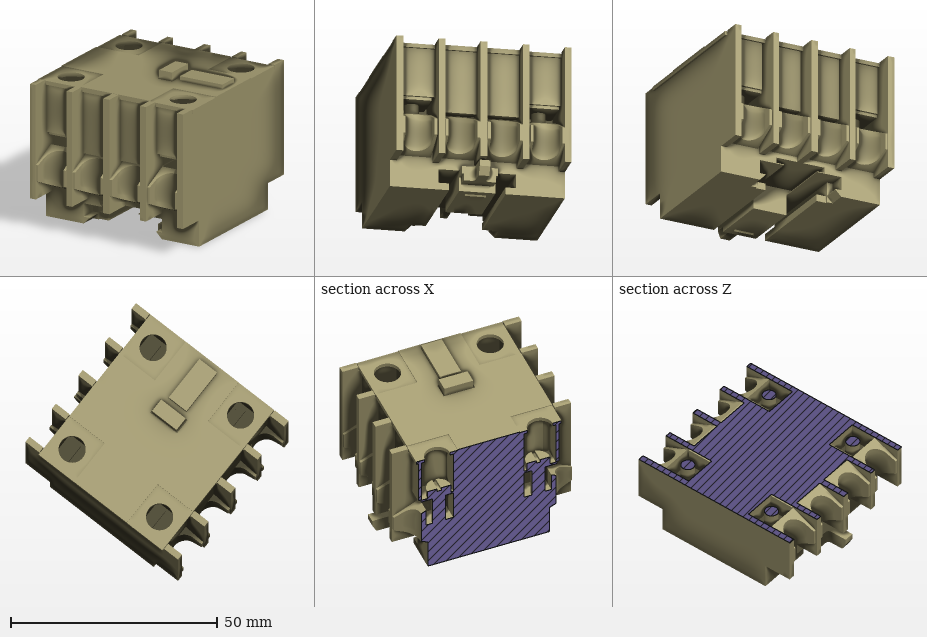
import cadquery as cq

body_width = 43.4
base_depth = 32.0
rib_depth = 47.0
rib_bottom = 6.75
cover_top = 36.15
cover_thickness = 1.2
cover_depth = 38.1
cover_overhang = 0.5
cover_gap = 0.2
cover_bottom = cover_top - cover_thickness
left = -body_width / 2
right = body_width / 2
base_front = -base_depth / 2
cover_edge = -cover_depth / 2

rib_spans = [(left, -20.1), (-11.35, -9.75), (-0.95, 0.8), (9.55, 11.15), (19.95, right)]

bays = [
    (-20.1, -11.65, -15.9),
    (-9.75, -1.1, -5.4),
    (0.8, 9.4, 5.15),
    (11.5, 19.95, 15.75),
]

block_front = -23.4
block_top = 18.85
block_crest = -16.4
block_nose_top = 15.6
block_nose_bottom = 11.4
block_bottom = 8.05
cup_radius = 3.43
cup_axis = -21.15
cup_mouth_half_width = 3.6

panel_front = -18.5
panel_side_gap = 0.2
inner_panel_bottom = 19.05
outer_panel_bottom = 22.7
chamber_front = -17.6
chamber_back = -9.35
chamber_floor = 14.0
clamp_thickness = 0.75
clamp_side_gap = 0.3
clamp_front = -17.9
shank_radius = 1.78
head_radius = 3.1
head_height = 2.3
head_slot_width = 0.95
head_slot_depth = 0.8
screw_y = 13.0
screw_xs = [-15.75, 15.7]
access_hole_radius = 3.3
access_hole_y = 13.47
access_hole_xs = [-16.15, 15.65]

corner_sink = 0.2
corner_inner_left = -10.15
corner_inner_right = 9.55
corner_inner_y = 8.15

button_x, button_y = 4.7, 0.05
button_width, button_length = 3.6, 7.55
button_top = 38.3
window_width, window_length = 4.15, 8.2
window_depth = 0.5
label_left, label_right = 8.15, 20.2
label_length = 5.45
label_y = 0.05
label_top = 37.35

channel_wall = 9.57
channel_top = 5.2
hook_top = 1.75
hook_tip = 7.0
tongue_half_width = 4.5
tongue_head_half_width = 6.55
tongue_head_bottom = 5.4
tongue_front = 0.0
mouth_depth = 4.5
mouth_wall = 11.15
hook_setback = 0.5
mouth_chamfer = 1.55

latch_end = 24.5
latch_half_width = 1.3
latch_x = sum(rib_spans[2]) / 2
latch_bottom = 1.75
latch_top = 5.4
latch_fillet = 1.0
latch_root_end = 19.0
latch_root_half_width = 4.5
latch_root_step_z = 3.45
latch_root_step = 0.5
latch_bevel_length = 1.1
latch_bevel_top = 3.85
ridge_half_length = 2.6
ridge_height = 0.35
ridge_y = 13.7


def box(x0, x1, y0, y1, z0, z1):
    """Box between two opposite corners."""
    return cq.Workplane("XY").box(x1 - x0, y1 - y0, z1 - z0, centered=False).translate((x0, y0, z0))


def mirrored_y(shape):
    """The shape together with its mirror image across the XZ plane."""
    return shape.union(shape.mirror("XZ"))


def make_core():
    base = box(left, right, base_front, -base_front, 0, cover_top)
    cover = box(left - cover_overhang, right, cover_edge, -cover_edge, cover_bottom, cover_top)
    return base.union(cover)


def make_ribs():
    ribs = cq.Workplane("XY")
    for x0, x1 in rib_spans:
        rib = box(x0, x1, -rib_depth / 2, base_front, rib_bottom, cover_top)
        gap = box(x0, x1, cover_edge - cover_gap, cover_edge, cover_bottom, cover_top)
        ribs = ribs.union(rib.cut(gap))
    return ribs


def make_block(x0, x1, cup_x):
    """Wedge-nosed terminal block with an upright open cup."""
    profile = [
        (base_front, block_bottom),
        (block_front, block_nose_bottom),
        (block_front, block_nose_top),
        (block_crest, block_top),
        (base_front, block_top),
    ]
    block = cq.Workplane("YZ").polyline(profile).close().extrude(x1 - x0).translate((x0, 0, 0))
    cup = (
        cq.Workplane("XY")
        .moveTo(cup_x - cup_radius, cup_axis)
        .threePointArc((cup_x, cup_axis + cup_radius), (cup_x + cup_radius, cup_axis))
        .lineTo(cup_x + cup_mouth_half_width, block_front)
        .lineTo(cup_x - cup_mouth_half_width, block_front)
        .close()
        .extrude(block_top)
    )
    return block.cut(cup)


def make_bays():
    blocks = cq.Workplane("XY")
    for i, (x0, x1, cup_x) in enumerate(bays):
        rib_face = rib_spans[i][1]
        bottom = outer_panel_bottom if i in (0, len(bays) - 1) else inner_panel_bottom
        panel = box(rib_face, x1 - panel_side_gap, panel_front, base_front, bottom, cover_bottom)
        blocks = blocks.union(make_block(x0, x1, cup_x)).union(panel)
    return blocks


def make_chambers():
    """Screw chambers of the outer bays, open to the front below the panel."""
    chambers = cq.Workplane("XY")
    for i in (0, len(bays) - 1):
        x0, x1, _ = bays[i]
        rib_left = rib_spans[i][1]
        rib_right = rib_spans[i + 1][0]
        room = box(x0, x1, chamber_front, chamber_back, block_top, cover_bottom)
        pit = box(x0, x1, block_crest, chamber_back, chamber_floor, block_top)
        window = box(rib_left, rib_right, block_front, chamber_back, block_top, outer_panel_bottom)
        chambers = chambers.union(room).union(pit).union(window)
    for x in access_hole_xs:
        hole = cq.Workplane("XY", origin=(x, -access_hole_y, cover_bottom)).circle(access_hole_radius)
        chambers = chambers.union(hole.extrude(cover_thickness))
    return chambers


def make_screws():
    """Slotted screws with their clamp plates."""
    screws = cq.Workplane("XY")
    clamp_bottom = outer_panel_bottom - clamp_thickness
    head_top = outer_panel_bottom + head_height
    for x, (x0, x1, _) in zip(screw_xs, (bays[0], bays[-1])):
        clamp = box(x0 + clamp_side_gap, x1, clamp_front, chamber_back, clamp_bottom, outer_panel_bottom)
        shank_plane = cq.Workplane("XY", origin=(x, -screw_y, chamber_floor))
        shank = shank_plane.circle(shank_radius).extrude(clamp_bottom - chamber_floor)
        head_plane = cq.Workplane("XY", origin=(x, -screw_y, outer_panel_bottom))
        head = head_plane.circle(head_radius).extrude(head_height)
        slot = box(
            x - head_radius, x + head_radius,
            -screw_y - head_slot_width / 2, -screw_y + head_slot_width / 2,
            head_top - head_slot_depth, head_top,
        )
        screws = screws.union(clamp).union(shank).union(head.cut(slot))
    return screws


def make_corner_fields():
    """Shallow sunken fields at the two front corners of the cover."""
    floor = cover_top - corner_sink
    west = box(left - cover_overhang, corner_inner_left, cover_edge, -corner_inner_y, floor, cover_top)
    east = box(corner_inner_right, right, cover_edge, -corner_inner_y, floor, cover_top)
    return west.union(east)


def make_window():
    return box(
        button_x - window_width / 2, button_x + window_width / 2,
        -window_length / 2, window_length / 2,
        cover_top - window_depth, cover_top,
    )


def make_button_and_label():
    button = box(
        button_x - button_width / 2, button_x + button_width / 2,
        button_y - button_length / 2, button_y + button_length / 2,
        cover_top - window_depth, button_top,
    )
    label = box(
        label_left, label_right,
        label_y - label_length / 2, label_y + label_length / 2,
        cover_top, label_top,
    )
    return button.union(label)


def make_channel():
    """Everything removed from the underside, right half mirrored to the left."""
    back = -base_front
    channel = box(tongue_half_width, channel_wall, base_front, back, hook_top, channel_top)
    channel = channel.union(box(tongue_half_width, hook_tip, base_front, back, 0, hook_top))
    mouth_profile = [
        (tongue_half_width, 0),
        (channel_wall + mouth_chamfer, 0),
        (channel_wall, mouth_chamfer),
        (channel_wall, hook_top),
        (mouth_wall, hook_top),
        (mouth_wall, channel_top),
        (tongue_half_width, channel_top),
    ]
    mouth = (
        cq.Workplane("XZ", origin=(0, base_front, 0))
        .polyline(mouth_profile).close()
        .extrude(-mouth_depth)
    )
    head = box(0, tongue_head_half_width, base_front, tongue_front, tongue_head_bottom, rib_bottom)
    stem = box(0, tongue_half_width, base_front, tongue_front, 0, tongue_head_bottom)
    hook_start = base_front + mouth_depth + hook_setback
    setback = box(tongue_half_width, channel_wall, base_front + mouth_depth, hook_start, 0, hook_top)
    half = channel.union(mouth).union(setback).union(head).union(stem)
    return half.union(half.mirror("YZ"))


def make_latch():
    """Tab on a stepped root, flared where the two meet."""
    back = -base_front
    half_step = latch_root_half_width - latch_root_step
    root = box(
        -latch_root_half_width, latch_root_half_width, back, latch_root_end, latch_root_step_z, latch_top
    )
    root = root.union(box(-half_step, half_step, back, latch_root_end, latch_bottom, latch_root_step_z))
    side = [
        (latch_root_end, latch_bottom),
        (latch_end - latch_bevel_length, latch_bottom),
        (latch_end, latch_bevel_top),
        (latch_end, latch_top),
        (latch_root_end, latch_top),
    ]
    tab = cq.Workplane("YZ").polyline(side).close().extrude(latch_half_width, both=True)
    flare_half_width = latch_half_width + latch_fillet
    flare = box(
        -flare_half_width, flare_half_width,
        latch_root_end, latch_root_end + latch_fillet, latch_bottom, latch_top,
    )
    corner_rounds = (
        cq.Workplane("XY")
        .pushPoints([(side_sign * flare_half_width, latch_root_end + latch_fillet) for side_sign in (-1, 1)])
        .circle(latch_fillet)
        .extrude(latch_top)
    )
    offset_tab = tab.union(flare.cut(corner_rounds)).translate((latch_x, 0, 0))
    return root.union(offset_tab)


def make_ridge():
    profile = [(ridge_y - ridge_height, 0), (ridge_y + ridge_height, 0), (ridge_y, -ridge_height)]
    return cq.Workplane("YZ").polyline(profile).close().extrude(ridge_half_length, both=True)


result = make_core().union(mirrored_y(make_ribs().union(make_bays())))
result = result.cut(mirrored_y(make_chambers()))
result = result.cut(mirrored_y(make_corner_fields()))
result = result.cut(make_window()).cut(make_channel())
result = result.union(mirrored_y(make_screws()))
result = result.union(make_button_and_label()).union(make_latch()).union(make_ridge())